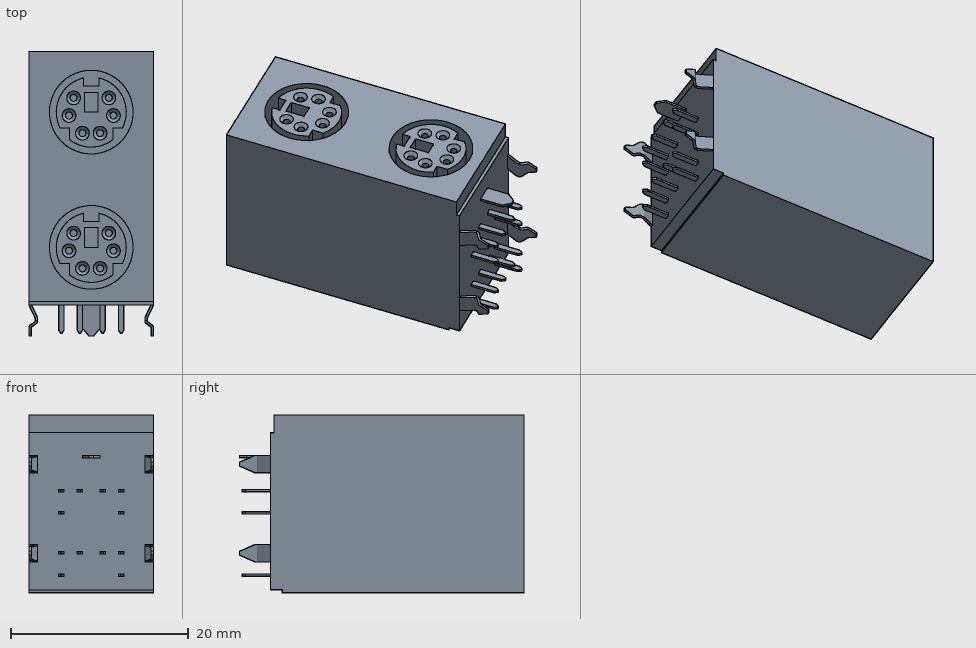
import cadquery as cq
import math


overall_length = 32
tail_length = 3.5
body_width = 14.0
body_length = overall_length - tail_length
body_height = 20.0
top_step_setback = 0.4
top_step_height = 2.0
bottom_step_length = 1.3
bottom_step_height = 0.32

first_socket_y = 6.5
socket_spacing = 15.2
socket_ys = [first_socket_y, first_socket_y + socket_spacing]
socket_radius = 4.7
plug_radius = 3.95
socket_depth = 4.8
top_key_width = 1.73
top_key_inner_y = 2.9
side_key_inner_x = 2.45
side_key_top_y = -1.8
window_width = 1.55
window_length = 2.2
window_depth = socket_depth

contact_points = [(2.0, 1.6), (2.5, -0.4), (1.0, -2.37)]
contact_mouth_radius = 0.77
contact_hole_radius = 0.4
contact_cone_depth = contact_mouth_radius - contact_hole_radius
contact_hole_depth = socket_depth

pin_width = 0.65
pin_thickness = 0.3
pin_length = 3.17
pin_point_length = 0.4
pin_tip_width = 0.15
inner_pin_x = 1.28
outer_pin_x = 3.35
lower_row_z = 2.0
row_spacing = 2.5
group_spacing = 7.0

blade_width = 1.95
blade_tip_width = 0.5
blade_point_length = 0.85
blade_top_z = 15.45
blade_thickness = 0.3

clip_height = 2.0
clip_tip_height = 0.45
clip_thickness = 0.3
clip_inner_radius = 0.1
clip_outer_radius = clip_inner_radius + clip_thickness
clip_bend_offset = 0.7
clip_bend_start = 1.47
clip_bend_end = 1.82
clip_straight_start = 2.35
clip_taper_start = 1.73
lower_clip_z = 4.45
clip_spacing = 10.0

root_overlap = 0.15


def box(x_size, y_range, z_range):
    """Box centred on X = 0 spanning the given Y and Z ranges."""
    y_low, y_high = y_range
    z_low, z_high = z_range
    block = cq.Workplane("XY").box(x_size, y_high - y_low, z_high - z_low, centered=(True, False, False))
    return block.translate((0, y_low, z_low))


def make_housing():
    housing = box(body_width, (0, body_length), (0, body_height))
    top_step = box(body_width, (0, top_step_setback), (body_height - top_step_height, body_height))
    bottom_step = box(body_width, (0, bottom_step_length), (0, bottom_step_height))
    return housing.cut(top_step).cut(bottom_step)


def make_socket_cut():
    """Everything removed for one socket, with the mouth centre at the origin."""
    plug = cq.Workplane("XY").circle(plug_radius).extrude(-socket_depth)
    top_key = box(top_key_width, (top_key_inner_y, socket_radius), (-socket_depth, 0))
    plug = plug.cut(top_key)
    side_key = cq.Workplane("XY").box(socket_radius, socket_radius, socket_depth, centered=False)
    side_key = side_key.translate((side_key_inner_x, side_key_top_y - socket_radius, -socket_depth))
    plug = plug.cut(side_key).cut(side_key.mirror("YZ"))

    cut = cq.Workplane("XY").circle(socket_radius).extrude(-socket_depth).cut(plug)
    cut = cut.union(box(window_width, (0, window_length), (-window_depth, 0)))

    contact = (
        cq.Workplane("XZ")
        .polyline([
            (0, 0),
            (contact_mouth_radius, 0),
            (contact_hole_radius, -contact_cone_depth),
            (contact_hole_radius, -contact_hole_depth),
            (0, -contact_hole_depth),
        ])
        .close()
        .revolve(360, (0, 0), (0, 1))
    )
    for x, y in contact_points:
        for side in (-1, 1):
            cut = cut.union(contact.translate((side * x, y, 0)))
    return cut


def make_pointed_tab(width, tip_width, length, point_length, thickness):
    """Flat tab leaving the front face towards -Y, with its underside at Z = 0."""
    return (
        cq.Workplane("XY")
        .polyline([
            (-width / 2, root_overlap),
            (-width / 2, point_length - length),
            (-tip_width / 2, -length),
            (tip_width / 2, -length),
            (width / 2, point_length - length),
            (width / 2, root_overlap),
        ])
        .close()
        .extrude(thickness)
    )


def make_pin_group():
    pin = make_pointed_tab(pin_width, pin_tip_width, pin_length, pin_point_length, pin_thickness)
    pin = pin.translate((0, 0, -pin_thickness / 2))
    upper_row_z = lower_row_z + row_spacing
    places = [(outer_pin_x, lower_row_z), (outer_pin_x, upper_row_z), (inner_pin_x, upper_row_z)]
    group = cq.Workplane("XY")
    for x, z in places:
        for side in (-1, 1):
            group = group.add(pin.translate((side * x, 0, z)))
    return group.combine()


def round_corners(strip, corners, radius):
    """Fillet the edges parallel to Z that pass through the given XY corners."""
    for x, y in corners:
        corner_edge = strip.edges(cq.NearestToPointSelector((x, y, 0)))
        strip = corner_edge.fillet(radius)
    return strip


def make_clip():
    """Bent spring clip on the -X side, centred on Z = 0, narrowing towards its tip."""
    edge = -body_width / 2
    bend = edge + clip_bend_offset
    inner_edge = edge + clip_thickness
    inner_bend = bend + clip_thickness

    inward_angle = math.atan2(clip_bend_offset, clip_bend_start)
    outward_angle = math.atan2(clip_bend_offset, clip_straight_start - clip_bend_end)
    inward_shift = clip_thickness * math.tan(inward_angle / 2)
    outward_shift = clip_thickness * math.tan(outward_angle / 2)
    root_inner_edge = edge + clip_thickness / math.cos(inward_angle)

    outer_bends = [(bend, -clip_bend_start), (bend, -clip_bend_end), (edge, -clip_straight_start)]
    inner_bends = [
        (inner_bend, inward_shift - clip_bend_start),
        (inner_bend, -clip_bend_end - outward_shift),
        (inner_edge, -clip_straight_start - outward_shift),
    ]
    strip = (
        cq.Workplane("XY")
        .polyline(
            [(edge, root_overlap), (edge, 0)]
            + outer_bends
            + [(edge, -tail_length), (inner_edge, -tail_length)]
            + inner_bends[::-1]
            + [(root_inner_edge, 0), (root_inner_edge, root_overlap)]
        )
        .close()
        .extrude(clip_height / 2, both=True)
    )
    concave_corners = outer_bends[:2] + inner_bends[2:]
    convex_corners = inner_bends[:2] + outer_bends[2:]
    strip = round_corners(strip, concave_corners, clip_inner_radius)
    strip = round_corners(strip, convex_corners, clip_outer_radius)

    side_outline = (
        cq.Workplane("YZ")
        .polyline([
            (root_overlap, -clip_height / 2),
            (-clip_taper_start, -clip_height / 2),
            (-tail_length, -clip_tip_height / 2),
            (-tail_length, clip_tip_height / 2),
            (-clip_taper_start, clip_height / 2),
            (root_overlap, clip_height / 2),
        ])
        .close()
        .extrude(body_width / 2, both=True)
    )
    return strip.intersect(side_outline)


result = make_housing()

socket_cut = make_socket_cut()
for socket_y in socket_ys:
    result = result.cut(socket_cut.translate((0, socket_y, body_height)))

pin_group = make_pin_group()
for group_z in (0, group_spacing):
    result = result.union(pin_group.translate((0, 0, group_z)))

blade = make_pointed_tab(blade_width, blade_tip_width, tail_length, blade_point_length, blade_thickness)
result = result.union(blade.translate((0, 0, blade_top_z - blade_thickness)))

clip = make_clip()
for clip_z in (lower_clip_z, lower_clip_z + clip_spacing):
    placed_clip = clip.translate((0, 0, clip_z))
    result = result.union(placed_clip)
    result = result.union(placed_clip.mirror("YZ"))